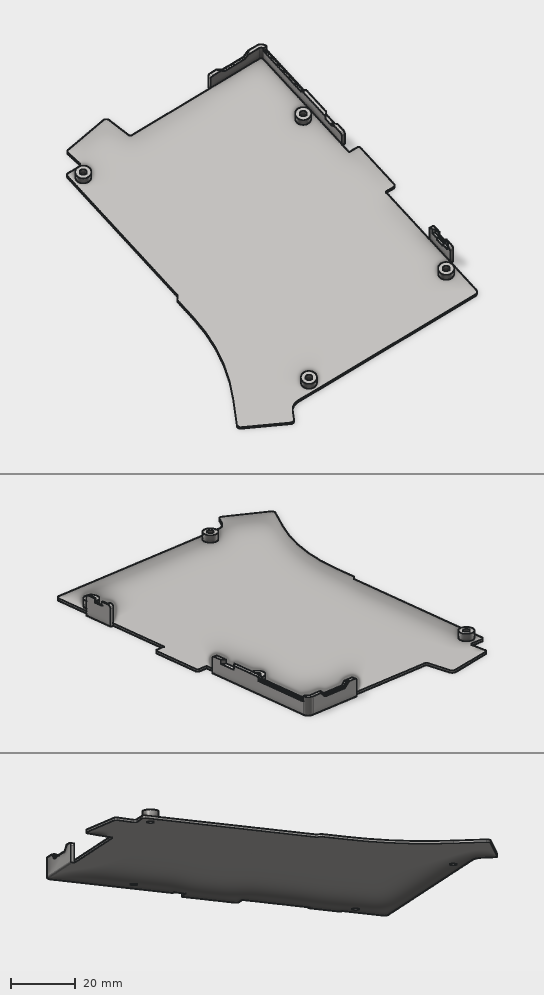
import cadquery as cq
import math

PLATE_LENGTH = 112.7
PLATE_WIDTH = 75.5
PLATE_THICKNESS = 0.9
TOTAL_HEIGHT = 7.5
SMALL_RADIUS = 0.8
CORNER_RADIUS = 1.3

BACK_TAB_START = 45.4
BACK_TAB_LENGTH = 19.0
BACK_TAB_DEPTH = 3.8

LEFT_TAB_TILT = 9.8
LEFT_TAB_TOP = 24.8
LEFT_TAB_REACH = 10.3
LEFT_TAB_WIDTH = 17.8
LEFT_TAB_ROOT = 6.0

RIGHT_TAB_TILT = 30
RIGHT_TAB_ROOT = 3.5
RIGHT_TAB_REACH = 6.0
RIGHT_TAB_WIDTH = 17.8
RIGHT_TAB_ROOT_RADIUS = 4.1
RIGHT_TAB_RADIUS = 1.2
FRONT_STEP_START = 58.1
FRONT_STEP_DEPTH = 1.2
SWEEP_RADIUS = 64.1

STANDOFF_DIAMETER = 5.0
STANDOFF_HOLE = 2.2
STANDOFF_HEIGHT = 2.6
STANDOFF_PLACES = [(26.5, 71.8), (100.8, 71.8), (109.1, 12.7), (4.0, 3.7)]

WALL_THICKNESS = 1.3
BEND_RADIUS = 2.2
LEFT_WALL_START = 55.8
LEFT_WALL_HEIGHT = 6.5
BACK_WALL_END = 41.5
BACK_WALL_HEIGHT = 6.2
WALL_CORNER_RADIUS = 1.0
BOTTOM_EDGE_RADIUS = 0.4

SKIN = 0.45
STEP = 0.5
SIDE_NOTCH_START = 61.2
SIDE_NOTCH_END = 69.1
SIDE_NOTCH_DEPTH = 1.3
LOW_RUN_START = BEND_RADIUS - WALL_THICKNESS
LOW_RUN_END = 20.4
LOW_RUN_HEIGHT = 5.3

FLARED_NOTCH_CENTER = 34.8
FLARED_NOTCH_WIDTH = 3.5
FLARED_NOTCH_BOTTOM = 4.9
FLARED_NOTCH_SIDE_FLARE = 1.2
FLARED_NOTCH_DROP = 0.1

EAR_START = 87.1
EAR_LENGTH = 10.8
EAR_RECESS_INNER_LENGTH = 8.0
EAR_RECESS_OUTER_LENGTH = 6.7
EAR_RECESS_DEPTH = 1.8
EAR_NOTCH_LENGTH = 3.2
EAR_NOTCH_DEPTH = 1.4
EAR_POCKET_DEPTH = 2.6

OVERCUT = 1.3
OUTER_X = -WALL_THICKNESS
OUTER_Y = PLATE_WIDTH + WALL_THICKNESS


def box(x0, x1, y0, y1, z0, z1):
    """Box between two opposite corners."""
    return cq.Workplane("XY").box(x1 - x0, y1 - y0, z1 - z0, centered=False).translate((x0, y0, z0))


def step_along(point, length, angle):
    """Point reached from another by going a length at an angle in degrees."""
    turn = math.radians(angle)
    return (point[0] + length * math.cos(turn), point[1] + length * math.sin(turn))


def make_plate():
    """Plate with its three tabs, each corner given with its rounding radius."""
    back_tab_end = BACK_TAB_START + BACK_TAB_LENGTH
    back_tab_y = PLATE_WIDTH + BACK_TAB_DEPTH

    left_root = (0, LEFT_TAB_TOP)
    left_top = step_along(left_root, LEFT_TAB_REACH, 180 + LEFT_TAB_TILT)
    left_bottom = step_along(left_top, LEFT_TAB_WIDTH, LEFT_TAB_TILT - 90)

    right_root = (PLATE_LENGTH, RIGHT_TAB_ROOT)
    right_edge = RIGHT_TAB_REACH / math.cos(math.radians(RIGHT_TAB_TILT))
    right_top = step_along(right_root, right_edge, -RIGHT_TAB_TILT)
    right_bottom = step_along(right_top, RIGHT_TAB_WIDTH, -90 - RIGHT_TAB_TILT)
    sweep_drop = -FRONT_STEP_DEPTH - right_bottom[1]
    sweep_x = right_bottom[0] - sweep_drop / math.tan(math.radians(RIGHT_TAB_TILT))

    corners = [
        ((0, 0), SMALL_RADIUS),
        ((FRONT_STEP_START, 0), SMALL_RADIUS),
        ((FRONT_STEP_START + FRONT_STEP_DEPTH, -FRONT_STEP_DEPTH), SMALL_RADIUS),
        ((sweep_x, -FRONT_STEP_DEPTH), SWEEP_RADIUS),
        (right_bottom, RIGHT_TAB_RADIUS),
        (right_top, RIGHT_TAB_RADIUS),
        (right_root, RIGHT_TAB_ROOT_RADIUS),
        ((PLATE_LENGTH, PLATE_WIDTH), CORNER_RADIUS),
        ((back_tab_end, PLATE_WIDTH), 0),
        ((back_tab_end, back_tab_y), SMALL_RADIUS),
        ((BACK_TAB_START, back_tab_y), SMALL_RADIUS),
        ((BACK_TAB_START, PLATE_WIDTH), 0),
        ((0, PLATE_WIDTH), 0),
        (left_root, SMALL_RADIUS),
        (left_top, CORNER_RADIUS),
        (left_bottom, SMALL_RADIUS),
        ((0, LEFT_TAB_ROOT), SMALL_RADIUS),
    ]
    plate = cq.Workplane("XY").polyline([point for point, _ in corners]).close().extrude(PLATE_THICKNESS)
    for (x, y), radius in corners:
        if radius > 0:
            upright = cq.selectors.NearestToPointSelector((x, y, PLATE_THICKNESS / 2))
            plate = plate.edges("|Z").edges(upright).fillet(radius)
    return plate


def make_walls():
    """L-shaped bent wall with its height profile cut into it."""
    outer = box(OUTER_X, BACK_WALL_END, LEFT_WALL_START, OUTER_Y, 0, LEFT_WALL_HEIGHT)
    outer = outer.edges("|Z and <X and >Y").fillet(BEND_RADIUS)
    outer = outer.edges("<Z and (<X or >Y)").fillet(BOTTOM_EDGE_RADIUS)
    inner = box(0, BACK_WALL_END + OVERCUT, LEFT_WALL_START - OVERCUT, PLATE_WIDTH, 0, LEFT_WALL_HEIGHT)
    inner = inner.edges("|Z and <X and >Y").fillet(BEND_RADIUS - WALL_THICKNESS)
    walls = outer.cut(inner)

    walls = walls.edges("|X and >Z and <Y").fillet(WALL_CORNER_RADIUS)

    top = LEFT_WALL_HEIGHT + OVERCUT
    for reach, offset in [(WALL_THICKNESS, 0), (SKIN, STEP)]:
        bottom = LEFT_WALL_HEIGHT - SIDE_NOTCH_DEPTH - offset
        spread = offset * math.tan(math.radians(45 / 2))
        notch = (
            cq.Workplane("YZ", origin=(OUTER_X, 0, 0))
            .polyline([
                (SIDE_NOTCH_START - spread, bottom),
                (SIDE_NOTCH_END + spread, bottom),
                (SIDE_NOTCH_END + spread + top - bottom, top),
                (SIDE_NOTCH_START - spread - top + bottom, top),
            ])
            .close()
            .extrude(reach)
        )
        walls = walls.cut(notch)
    return walls


def back_wall_cut():
    """Material above the back wall: the low run, the ramp, and the rounded far end."""
    top = LEFT_WALL_HEIGHT + OVERCUT
    ramp = BACK_WALL_HEIGHT - LOW_RUN_HEIGHT
    cut = (
        cq.Workplane("XZ", origin=(0, OUTER_Y, 0))
        .moveTo(LOW_RUN_START, top)
        .lineTo(LOW_RUN_START, LOW_RUN_HEIGHT)
        .lineTo(LOW_RUN_END, LOW_RUN_HEIGHT)
        .lineTo(LOW_RUN_END + ramp, BACK_WALL_HEIGHT)
        .lineTo(BACK_WALL_END - WALL_CORNER_RADIUS, BACK_WALL_HEIGHT)
        .radiusArc((BACK_WALL_END, BACK_WALL_HEIGHT - WALL_CORNER_RADIUS), WALL_CORNER_RADIUS)
        .lineTo(BACK_WALL_END + OVERCUT, BACK_WALL_HEIGHT - WALL_CORNER_RADIUS)
        .lineTo(BACK_WALL_END + OVERCUT, top)
        .close()
        .extrude(BEND_RADIUS)
    )
    skin_end = LOW_RUN_END + STEP
    skin_bottom = LOW_RUN_HEIGHT - STEP
    skin_step = box(LOW_RUN_START, skin_end, OUTER_Y - SKIN, OUTER_Y, skin_bottom, top)
    return cut.union(skin_step)


def tapered_cutter(center, inner, outer):
    """Block from the inner to an outer plane; each end is given by its y, width and bottom height."""
    def end_face(y, width, bottom):
        half = width / 2
        corners = [(-half, TOTAL_HEIGHT), (half, TOTAL_HEIGHT), (half, bottom), (-half, bottom)]
        return cq.Wire.makePolygon([cq.Vector(center + x, y, z) for x, z in corners], close=True)

    return cq.Workplane(cq.Solid.makeLoft([end_face(*inner), end_face(*outer)], True))


def flared_notch():
    """Notch through the back wall that widens and deepens toward the outside."""
    outer_width = FLARED_NOTCH_WIDTH + 2 * FLARED_NOTCH_SIDE_FLARE
    return tapered_cutter(
        FLARED_NOTCH_CENTER,
        (PLATE_WIDTH, FLARED_NOTCH_WIDTH, FLARED_NOTCH_BOTTOM),
        (OUTER_Y, outer_width, FLARED_NOTCH_BOTTOM - FLARED_NOTCH_DROP),
    )


def make_ear():
    """Ear with a recess in its inner face and a stepped notch in its top."""
    center = EAR_START + EAR_LENGTH / 2
    ear = box(EAR_START, EAR_START + EAR_LENGTH, PLATE_WIDTH, OUTER_Y, 0, TOTAL_HEIGHT)
    ear = ear.edges("|Y and >Z").fillet(WALL_CORNER_RADIUS)
    ear = ear.edges("<Z and >Y").fillet(BOTTOM_EDGE_RADIUS)

    recess_bottom = TOTAL_HEIGHT - EAR_RECESS_DEPTH
    recess = tapered_cutter(
        center,
        (PLATE_WIDTH, EAR_RECESS_INNER_LENGTH, recess_bottom),
        (OUTER_Y - SKIN, EAR_RECESS_OUTER_LENGTH, recess_bottom),
    )
    ear = ear.cut(recess)
    notch_start = center - EAR_NOTCH_LENGTH / 2
    notch_end = center + EAR_NOTCH_LENGTH / 2
    for depth, outer_y in [(EAR_POCKET_DEPTH, OUTER_Y - SKIN), (EAR_NOTCH_DEPTH, OUTER_Y)]:
        ear = ear.cut(box(notch_start, notch_end, PLATE_WIDTH, outer_y, TOTAL_HEIGHT - depth, TOTAL_HEIGHT))
    return ear


standoffs = (
    cq.Workplane("XY")
    .pushPoints(STANDOFF_PLACES)
    .circle(STANDOFF_DIAMETER / 2)
    .extrude(PLATE_THICKNESS + STANDOFF_HEIGHT)
)
standoff_holes = (
    cq.Workplane("XY")
    .pushPoints(STANDOFF_PLACES)
    .circle(STANDOFF_HOLE / 2)
    .extrude(PLATE_THICKNESS + STANDOFF_HEIGHT)
)
walls = make_walls().cut(back_wall_cut()).cut(flared_notch())

result = make_plate().union(standoffs).cut(standoff_holes).union(walls).union(make_ear())